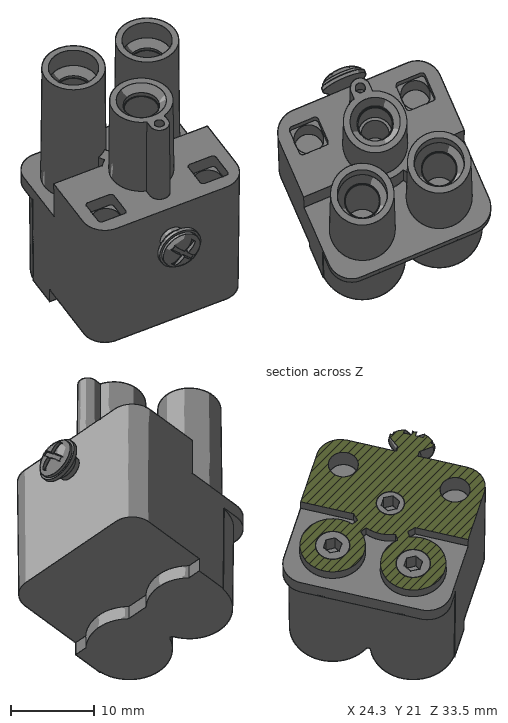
import cadquery as cq
import math


DRAFT_ANGLE = 0.5
DRAFT = math.tan(math.radians(DRAFT_ANGLE))

TALL_TUBE_TOP = 33.5
SHORT_TUBE_TOP = 32.43
BLOCK_TOP = 20.97
FLANGE_TOP = 15.48
FLANGE_BOTTOM = 13.55
BLOCK_BOTTOM = 2.05

BLOCK_WIDTH = 21.0
CORNER_RADIUS = 3.0
FLANGE_EDGE_INSET = (BLOCK_TOP - FLANGE_TOP) * DRAFT
BLOCK_CENTER_X = BLOCK_WIDTH / 2 - FLANGE_EDGE_INSET
LOWER_WALL_X = 5.02
SKIRT_END_X = 9.25
STEP_X = 10.6
CUTTER = 67.0

PAIR_X = 5.45
PAIR_Y = 5.02
PAIR_PLACES = [(PAIR_X, -PAIR_Y), (PAIR_X, PAIR_Y)]
SLEEVE_RADIUS = 5.33
VALLEY_RADIUS = 0.3

SHORT_TUBE_X = 13.3
TUBE_RADIUS = 3.82
LUG_X = 17.85
LUG_RADIUS = 1.2
LUG_HOLE_RADIUS = 0.6
LUG_HOLE_DEPTH = 3.35
LUG_PILOT_RADIUS = 0.25
LUG_PILOT_DEPTH = 1.35

COLLAR_RADIUS = 4.7
RIB_WIDTH = 1.57

MOUTH_RADIUS = 3.0
TALL_MOUTH_DEPTH = 2.55
TALL_SEAT_RADIUS = 2.15
TALL_SEAT_DEPTH = 0.35
CONTACT_RADIUS = 2.05
SHORT_SEAT_RADIUS = 2.18
SHORT_SEAT_DEPTH = 0.55
SHORT_CONTACT_DEPTH = 5.02
SHORT_BORE_RADIUS = 1.68
BORE_FLOOR = 16.75
HEX_CORNER_RADIUS = 1.15
HEX_DEPTH = 2.0
HEX_TIP_HEIGHT = 0.67

POCKET_X = 17.3
POCKET_Y = 6.97
POCKET_SIZE = 3.75
POCKET_CORNER_RADIUS = 0.45
POCKET_DEPTH = 1.78
POCKET_HOLE_RADIUS = 1.78
POCKET_HOLE_DEPTH = 6.7

SCREW_Z = 16.0
SCREW_EMBED_X = 20.1
NECK_RADIUS = 1.55
NECK_END_X = 21.55
RIM_RADIUS = 2.8
RIM_START_X = 22.68
RIM_END_X = 23.15
DOME_RADIUS = 2.5
DOME_START_X = 23.52
DOME_MID = (24.0, 1.95)
DOME_FACE_RADIUS = 1.2
SCREW_END_X = 24.25
CROSS_LENGTH = 3.9
CROSS_WIDTH = 0.67
CROSS_DEPTH = 0.5
CROSS_ANGLES = (45, 135)


def slab(x_min, x_max, z_min, z_max):
    """Box spanning the full Y width of the part."""
    box = cq.Workplane("XY").box(x_max - x_min, CUTTER, z_max - z_min, centered=(False, True, False))
    return box.translate((x_min, 0, z_min))


def post(x, y, radius, z_min, z_max):
    """Plain upright cylinder."""
    return cq.Workplane("XY", origin=(x, y, z_min)).circle(radius).extrude(z_max - z_min)


def drafted_tube(outline, height):
    """Outline at the top of a tube, extruded downwards and widening with the draft."""
    return outline.extrude(-height, taper=-DRAFT_ANGLE)


def turned(points, x, y):
    """Solid of revolution about the upright axis at (x, y), from (radius, z) points."""
    profile = cq.Workplane("XZ").polyline(points).close()
    return profile.revolve(360, (0, 0, 0), (0, 1, 0)).translate((x, y, 0))


def make_block():
    block = (
        cq.Workplane("XY", origin=(BLOCK_CENTER_X, 0, BLOCK_TOP))
        .sketch()
        .rect(BLOCK_WIDTH, BLOCK_WIDTH)
        .vertices()
        .fillet(CORNER_RADIUS)
        .finalize()
        .extrude(-BLOCK_TOP, taper=DRAFT_ANGLE)
    )
    block = block.cut(slab(-CUTTER, STEP_X, FLANGE_TOP, CUTTER))
    block = block.cut(slab(-CUTTER, LOWER_WALL_X, -CUTTER, FLANGE_BOTTOM))
    return block.cut(slab(SKIRT_END_X, CUTTER, -CUTTER, BLOCK_BOTTOM))


def make_sleeves():
    """Two overlapping drafted sleeves, with the valleys between them rounded."""
    sleeves = cq.Workplane("XY", origin=(0, 0, FLANGE_BOTTOM))
    sleeves = sleeves.pushPoints(PAIR_PLACES).circle(SLEEVE_RADIUS)
    sleeves = sleeves.extrude(-FLANGE_BOTTOM, taper=DRAFT_ANGLE)
    valley_box = cq.selectors.BoxSelector(
        (-CUTTER, -VALLEY_RADIUS, VALLEY_RADIUS),
        (CUTTER, VALLEY_RADIUS, FLANGE_BOTTOM - VALLEY_RADIUS),
    )
    return sleeves.edges(valley_box).fillet(VALLEY_RADIUS)


def make_collar():
    height = BLOCK_TOP - FLANGE_TOP
    collar = post(SHORT_TUBE_X, 0, COLLAR_RADIUS, FLANGE_TOP, BLOCK_TOP)
    for x, y in PAIR_PLACES:
        run = math.hypot(x - SHORT_TUBE_X, y)
        heading = math.degrees(math.atan2(y, x - SHORT_TUBE_X))
        rib = cq.Workplane("XY").box(run, RIB_WIDTH, height, centered=(False, True, False))
        rib = rib.rotate((0, 0, 0), (0, 0, 1), heading)
        collar = collar.union(rib.translate((SHORT_TUBE_X, 0, FLANGE_TOP)))
        collar = collar.cut(post(x, y, TUBE_RADIUS, FLANGE_TOP, BLOCK_TOP))
    return collar


def make_tall_tube(x, y):
    outline = cq.Workplane("XY", origin=(x, y, TALL_TUBE_TOP)).circle(TUBE_RADIUS)
    return drafted_tube(outline, TALL_TUBE_TOP - FLANGE_TOP)


def make_short_tube():
    height = SHORT_TUBE_TOP - BLOCK_TOP
    top = cq.Workplane("XY", origin=(0, 0, SHORT_TUBE_TOP))
    tube = drafted_tube(top.center(SHORT_TUBE_X, 0).circle(TUBE_RADIUS), height)
    lug_outline = (
        top.moveTo(SHORT_TUBE_X, -LUG_RADIUS)
        .lineTo(LUG_X, -LUG_RADIUS)
        .threePointArc((LUG_X + LUG_RADIUS, 0), (LUG_X, LUG_RADIUS))
        .lineTo(SHORT_TUBE_X, LUG_RADIUS)
        .close()
    )
    return tube.union(drafted_tube(lug_outline, height))


def hex_socket(x, y):
    """Hexagonal socket in a bore floor, ending in a conical tip."""
    socket_end = BORE_FLOOR - HEX_DEPTH
    tip = socket_end - HEX_TIP_HEIGHT
    prism = cq.Workplane("XY", origin=(x, y, tip)).polygon(6, 2 * HEX_CORNER_RADIUS)
    prism = prism.extrude(BORE_FLOOR - tip)
    pointed = [(0, tip), (HEX_CORNER_RADIUS, socket_end), (HEX_CORNER_RADIUS, BORE_FLOOR), (0, BORE_FLOOR)]
    return prism.intersect(turned(pointed, x, y))


def tall_bore(x, y):
    cone_start = TALL_TUBE_TOP - TALL_MOUTH_DEPTH
    cone_end = cone_start - (MOUTH_RADIUS - TALL_SEAT_RADIUS)
    seat = cone_end - TALL_SEAT_DEPTH
    profile = [
        (0, BORE_FLOOR),
        (CONTACT_RADIUS, BORE_FLOOR),
        (CONTACT_RADIUS, seat),
        (TALL_SEAT_RADIUS, seat),
        (TALL_SEAT_RADIUS, cone_end),
        (MOUTH_RADIUS, cone_start),
        (MOUTH_RADIUS, TALL_TUBE_TOP),
        (0, TALL_TUBE_TOP),
    ]
    return turned(profile, x, y).union(hex_socket(x, y))


def short_bore():
    cone_end = SHORT_TUBE_TOP - (MOUTH_RADIUS - SHORT_SEAT_RADIUS)
    seat = cone_end - SHORT_SEAT_DEPTH
    contact_end = seat - SHORT_CONTACT_DEPTH
    profile = [
        (0, BORE_FLOOR),
        (SHORT_BORE_RADIUS, BORE_FLOOR),
        (SHORT_BORE_RADIUS, contact_end),
        (CONTACT_RADIUS, contact_end),
        (CONTACT_RADIUS, seat),
        (SHORT_SEAT_RADIUS, seat),
        (SHORT_SEAT_RADIUS, cone_end),
        (MOUTH_RADIUS, SHORT_TUBE_TOP),
        (0, SHORT_TUBE_TOP),
    ]
    return turned(profile, SHORT_TUBE_X, 0).union(hex_socket(SHORT_TUBE_X, 0))


def lug_hole():
    """Hole in the lug, narrowing through a 45 degree cone to a pilot hole."""
    cone_start = SHORT_TUBE_TOP - LUG_HOLE_DEPTH
    pilot_start = cone_start - (LUG_HOLE_RADIUS - LUG_PILOT_RADIUS)
    pilot_end = pilot_start - LUG_PILOT_DEPTH
    profile = [
        (0, pilot_end),
        (LUG_PILOT_RADIUS, pilot_end),
        (LUG_PILOT_RADIUS, pilot_start),
        (LUG_HOLE_RADIUS, cone_start),
        (LUG_HOLE_RADIUS, SHORT_TUBE_TOP),
        (0, SHORT_TUBE_TOP),
    ]
    return turned(profile, LUG_X, 0)


def square_pocket(y):
    pocket = (
        cq.Workplane("XY", origin=(POCKET_X, y, BLOCK_TOP))
        .rect(POCKET_SIZE, POCKET_SIZE)
        .extrude(-POCKET_DEPTH)
        .edges("|Z")
        .fillet(POCKET_CORNER_RADIUS)
    )
    return pocket.union(post(POCKET_X, y, POCKET_HOLE_RADIUS, BLOCK_TOP - POCKET_HOLE_DEPTH, BLOCK_TOP))


def make_screw():
    """Screw along X with a countersunk domed head and a cross recess."""
    screw = (
        cq.Workplane("XY")
        .moveTo(SCREW_EMBED_X, 0)
        .lineTo(SCREW_EMBED_X, NECK_RADIUS)
        .lineTo(NECK_END_X, NECK_RADIUS)
        .lineTo(RIM_START_X, RIM_RADIUS)
        .lineTo(RIM_END_X, RIM_RADIUS)
        .lineTo(RIM_END_X, DOME_RADIUS)
        .lineTo(DOME_START_X, DOME_RADIUS)
        .threePointArc(DOME_MID, (SCREW_END_X, DOME_FACE_RADIUS))
        .lineTo(SCREW_END_X, 0)
        .close()
        .revolve(360, (0, 0, 0), (1, 0, 0))
    )
    for angle in CROSS_ANGLES:
        arm = cq.Workplane("XY").box(2 * CROSS_DEPTH, CROSS_LENGTH, CROSS_WIDTH)
        arm = arm.rotate((0, 0, 0), (1, 0, 0), angle)
        screw = screw.cut(arm.translate((SCREW_END_X, 0, 0)))
    return screw.translate((0, 0, SCREW_Z))


result = make_block().union(make_sleeves()).union(make_collar()).union(make_short_tube())
for pair_x, pair_y in PAIR_PLACES:
    result = result.union(make_tall_tube(pair_x, pair_y))
    result = result.cut(tall_bore(pair_x, pair_y))
result = result.cut(short_bore()).cut(lug_hole())
for pocket_y in (-POCKET_Y, POCKET_Y):
    result = result.cut(square_pocket(pocket_y))
result = result.union(make_screw())